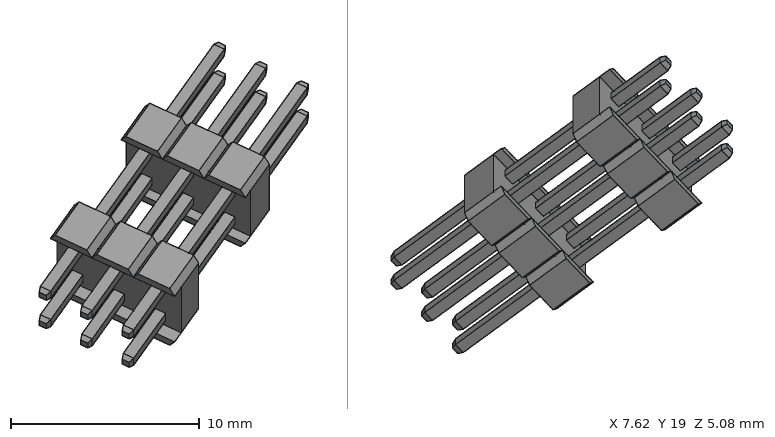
import cadquery as cq

pitch = 2.54
columns = 3
rows = 2
pin_length = 19.0
pin_width = 0.64
tip_length = 0.3
tip_inset = 0.1

body_width = columns * pitch
body_height = rows * pitch
body_depth = 2.54
flange_thickness = 0.5
flange_slope_run = 0.3
notch_web = 0.005
front_wall_depth = 1.84
rear_wall_depth = 2.0
front_pin_exposure = 3.0
body_spacing = 7.5

pin_front_y = -pin_length / 2
front_body_y = pin_front_y + front_pin_exposure
rear_body_y = front_body_y + body_spacing


def make_flange(front_y):
    """Top flange: sloped ends and a V notch at each column boundary."""
    top_z = body_height / 2
    base_z = top_z - flange_thickness
    valley_z = base_z + notch_web

    points = [(-body_width / 2, base_z)]
    for column in range(columns):
        left_x = -body_width / 2 + column * pitch
        right_x = left_x + pitch
        is_last = column == columns - 1
        points.append((left_x + flange_slope_run, top_z))
        points.append((right_x - flange_slope_run, top_z))
        points.append((right_x, base_z if is_last else valley_z))

    profile = cq.Workplane("XZ", origin=(0, front_y, 0)).polyline(points).close()
    return profile.extrude(-body_depth)


def make_body(front_y, wall_depth):
    """Wall flush with the rear of its two flanges, which overhang to -Y."""
    wall_height = body_height - 2 * flange_thickness
    rear_y = front_y + body_depth
    wall = cq.Workplane("XY").box(body_width, wall_depth, wall_height)
    wall = wall.translate((0, rear_y - wall_depth / 2, 0))
    top_flange = make_flange(front_y)
    bottom_flange = top_flange.mirror("XY")
    return wall.union(top_flange).union(bottom_flange)


def make_pin(x, z):
    """Square pin with a tapered tip at each end."""
    tip_width = pin_width - 2 * tip_inset
    shank_end_y = pin_length / 2 - tip_length
    shank = cq.Workplane("XY").box(pin_width, 2 * shank_end_y, pin_width)
    front_tip = (
        cq.Workplane("XZ", origin=(0, -shank_end_y, 0))
        .rect(pin_width, pin_width)
        .workplane(offset=tip_length)
        .rect(tip_width, tip_width)
        .loft(ruled=True)
    )
    rear_tip = front_tip.mirror("XZ")
    return shank.union(front_tip).union(rear_tip).translate((x, 0, z))


result = make_body(front_body_y, front_wall_depth)
result = result.union(make_body(rear_body_y, rear_wall_depth))
for column in range(columns):
    for row in range(rows):
        pin_x = (column - (columns - 1) / 2) * pitch
        pin_z = (row - (rows - 1) / 2) * pitch
        result = result.union(make_pin(pin_x, pin_z))